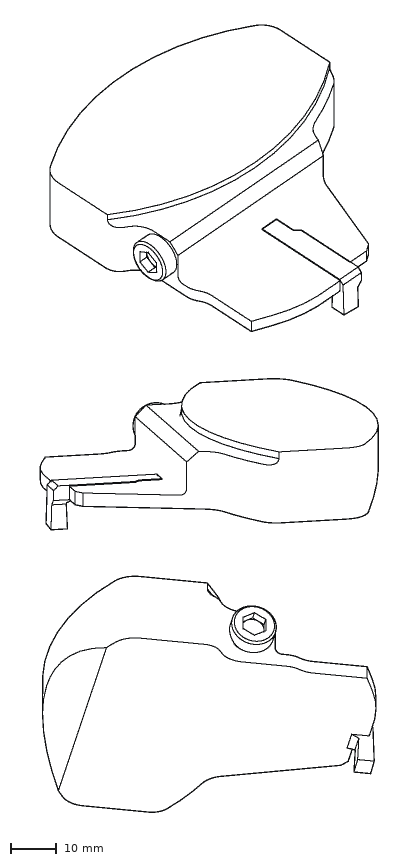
import cadquery as cq
import math

height = 16.05
half_width = 35.0
side_radius = 60.05
left_corner_radius = 6.0
right_corner_radius = 4.5
left_center_x = side_radius
top_edge_x = 40.8
cove_radius = 1.5
right_center_x = top_edge_x - side_radius
base_radius = side_radius + cove_radius
cheek_chamfer = 7.95

ledge_z = 13.0
bracket_inner_x = 28.95
bracket_end_x = 45.7
bracket_chamfer = 2.45
bracket_front_y = -29.4
plate_thickness = 3.05
step_fillet = 1.5
blend_radius = 6.0

plate_front_y = -27.65
notch_start_x = 48.25
notch_end_x = 54.5
plate_front_end_x = 66.55
plate_end_x = 71.2
plate_arc_end_y = -11.4
plate_arc_start_x = 68.6
plate_arc_start_y = -22.8
back_end_x = 68.5
back_corner_y = 6.65
back_slope_x = 67.2
back_slope_y = 8.6
back_slope_angle = 20.0

arm_top_z = 3.25
arm_start_x = 47.2
arm_end_x = 72.05
arm_front_y = -4.4
arm_narrow_y = 0.15
arm_wide_y = 1.4
arm_step_x = 52.4
arm_chamfer = 1.0
hook_inner_x = 68.9
hook_tip_x = 72.35
hook_draft = 0.3
hook_bottom_z = -6.9
hook_tip_rise = 0.4
hook_root_z = -0.9
hook_root_length = 1.6

screw_x = 40.4
screw_z = 7.7
screw_diameter = 10.0
screw_height = 3.9
screw_chamfer = 0.5
socket_flats = 5.1
socket_depth = 2.2
socket_cone_depth = 1.1


def circle_x(center_x, radius, y, side):
    """X of a circle centred on the X axis, on its left (-1) or right (+1) side."""
    return center_x + side * math.sqrt(radius**2 - y**2)


def head_block():
    """Lens-shaped slab with rounded corners and an angled cut under its left side."""
    left_x = circle_x(left_center_x, side_radius, half_width, -1)
    right_x = circle_x(right_center_x, base_radius, half_width, 1)
    block = (
        cq.Workplane("XY")
        .moveTo(left_x, -half_width)
        .lineTo(right_x, -half_width)
        .threePointArc((right_center_x + base_radius, 0), (right_x, half_width))
        .lineTo(left_x, half_width)
        .threePointArc((0, 0), (left_x, -half_width))
        .close()
        .extrude(height)
        .edges("|Z").edges("<X")
        .fillet(left_corner_radius)
        .edges("|Z").edges(">X")
        .fillet(right_corner_radius)
    )
    cheek_cut = (
        cq.Workplane("XZ")
        .polyline([(0, 0), (cheek_chamfer, 0), (0, cheek_chamfer)])
        .close()
        .extrude(half_width, both=True)
    )
    return block.cut(cheek_cut)


def top_step_cutter():
    """Ring that trims the right side above the ledge, leaving a cove at its foot."""
    outer_radius = base_radius + right_corner_radius
    cove_top = ledge_z + cove_radius
    cove_mid = cove_radius * (1 - math.sqrt(0.5))
    return (
        cq.Workplane("XZ", origin=(right_center_x, 0, 0))
        .moveTo(side_radius, height)
        .lineTo(side_radius, cove_top)
        .threePointArc((side_radius + cove_mid, ledge_z + cove_mid), (base_radius, ledge_z))
        .lineTo(outer_radius, ledge_z)
        .lineTo(outer_radius, height)
        .close()
        .revolve(360, (0, 0, 0), (0, 1, 0))
    )


def blend_touch(center_x, center_y):
    """Point where a blend circle touches the base arc."""
    share = base_radius / (base_radius + blend_radius)
    return right_center_x + share * (center_x - right_center_x), share * center_y


def blend_middle(center, start, end):
    """Middle point of the short arc from start to end about a blend centre."""
    dx = start[0] + end[0] - 2 * center[0]
    dy = start[1] + end[1] - 2 * center[1]
    scale = blend_radius / math.hypot(dx, dy)
    return center[0] + scale * dx, center[1] + scale * dy


def bracket_plan():
    """Plan of bracket and plate, with hollow arcs tangent to the head block."""
    center_distance = base_radius + blend_radius

    front_y = bracket_front_y - blend_radius
    front_center = (circle_x(right_center_x, center_distance, front_y, 1), front_y)
    front_touch = blend_touch(*front_center)
    front_end = (front_center[0], bracket_front_y)

    angle = math.radians(back_slope_angle)
    offset_x = blend_radius * math.sin(angle)
    offset_y = blend_radius * math.cos(angle)
    start_x = back_slope_x + offset_x - right_center_x
    start_y = back_slope_y + offset_y
    toward = start_x * math.cos(angle) - start_y * math.sin(angle)
    run = toward - math.sqrt(toward**2 - start_x**2 - start_y**2 + center_distance**2)
    back_end = (back_slope_x - run * math.cos(angle), back_slope_y + run * math.sin(angle))
    back_center = (back_end[0] + offset_x, back_end[1] + offset_y)
    back_touch = blend_touch(*back_center)

    notch_middle = ((notch_start_x + notch_end_x) / 2, (bracket_front_y + plate_front_y) / 2)
    return (
        cq.Workplane("XY")
        .moveTo(*front_touch)
        .threePointArc(blend_middle(front_center, front_touch, front_end), front_end)
        .lineTo(notch_start_x, bracket_front_y)
        .tangentArcPoint(notch_middle, relative=False)
        .tangentArcPoint((notch_end_x, plate_front_y), relative=False)
        .lineTo(plate_front_end_x, plate_front_y)
        .lineTo(plate_arc_start_x, plate_arc_start_y)
        .tangentArcPoint((plate_end_x, plate_arc_end_y), relative=False)
        .lineTo(plate_end_x, arm_front_y)
        .lineTo(back_end_x, arm_front_y)
        .lineTo(back_end_x, back_corner_y)
        .lineTo(back_slope_x, back_slope_y)
        .lineTo(*back_end)
        .threePointArc(blend_middle(back_center, back_end, back_touch), back_touch)
        .lineTo(bracket_inner_x, back_touch[1])
        .lineTo(bracket_inner_x, front_touch[1])
        .close()
        .extrude(ledge_z)
    )


def bracket():
    """Tall block with a chamfered shoulder, stepping down to a thin plate."""
    shoulder_x = bracket_end_x - bracket_chamfer
    step_x = bracket_end_x + step_fillet
    step_z = plate_thickness + step_fillet
    bow = step_fillet * (1 - math.sqrt(0.5))
    side_profile = (
        cq.Workplane("XZ")
        .moveTo(bracket_inner_x, 0)
        .lineTo(hook_tip_x, 0)
        .lineTo(hook_tip_x, plate_thickness)
        .lineTo(step_x, plate_thickness)
        .threePointArc((bracket_end_x + bow, plate_thickness + bow), (bracket_end_x, step_z))
        .lineTo(bracket_end_x, ledge_z - bracket_chamfer)
        .lineTo(shoulder_x, ledge_z)
        .lineTo(bracket_inner_x, ledge_z)
        .close()
        .extrude(half_width, both=True)
    )
    return bracket_plan().intersect(side_profile)


def arm():
    """Raised strip along the plate that turns down into a hook."""
    step_length = arm_wide_y - arm_narrow_y
    plan = (
        cq.Workplane("XY", origin=(0, 0, hook_bottom_z))
        .moveTo(arm_start_x, arm_front_y)
        .lineTo(hook_tip_x, arm_front_y)
        .lineTo(hook_tip_x, arm_wide_y)
        .lineTo(arm_step_x + step_length, arm_wide_y)
        .lineTo(arm_step_x, arm_narrow_y)
        .lineTo(arm_start_x, arm_narrow_y)
        .close()
        .extrude(arm_top_z - hook_bottom_z)
    )
    side_profile = (
        cq.Workplane("XZ")
        .moveTo(arm_start_x, 0)
        .lineTo(hook_inner_x - hook_root_length, 0)
        .lineTo(hook_inner_x, hook_root_z)
        .lineTo(hook_inner_x - hook_draft, hook_bottom_z)
        .lineTo(hook_tip_x, hook_bottom_z)
        .lineTo(arm_end_x, arm_top_z - arm_chamfer)
        .lineTo(arm_end_x - arm_chamfer, arm_top_z)
        .lineTo(arm_start_x, arm_top_z)
        .close()
        .extrude(half_width, both=True)
    )
    flare_z = -(arm_wide_y - arm_narrow_y)
    end_profile = (
        cq.Workplane("YZ")
        .moveTo(arm_front_y, arm_top_z)
        .lineTo(arm_wide_y, arm_top_z)
        .lineTo(arm_wide_y, 0)
        .lineTo(arm_narrow_y, flare_z)
        .lineTo(arm_narrow_y, hook_bottom_z)
        .lineTo(arm_front_y, hook_bottom_z + hook_tip_rise)
        .close()
        .extrude(hook_tip_x)
    )
    return plan.intersect(side_profile).intersect(end_profile)


def screw_blank():
    """Plain cylinder of the screw head, seated on the front of the bracket."""
    return (
        cq.Workplane("XZ", origin=(screw_x, bracket_front_y, screw_z))
        .circle(screw_diameter / 2)
        .extrude(screw_height)
    )


def screw_head():
    """Cap with a chamfered rim and a hexagon socket that ends in a cone."""
    corner_diameter = socket_flats / math.cos(math.pi / 6)
    face_y = bracket_front_y - screw_height
    socket = (
        cq.Workplane("XZ", origin=(screw_x, face_y + socket_depth, screw_z))
        .transformed(rotate=(0, 0, 30))
        .polygon(6, corner_diameter)
        .extrude(socket_depth)
    )
    cone = cq.Workplane(
        cq.Solid.makeCone(
            socket_flats / 2,
            0,
            socket_cone_depth,
            pnt=cq.Vector(screw_x, face_y + socket_depth, screw_z),
            dir=cq.Vector(0, 1, 0),
        )
    )
    return screw_blank().faces("<Y").chamfer(screw_chamfer).cut(socket).cut(cone)


clamp_body = head_block().cut(top_step_cutter()).union(bracket()).union(arm()).cut(screw_blank())
screw = screw_head()

result = cq.Compound.makeCompound([clamp_body.val(), screw.val()])